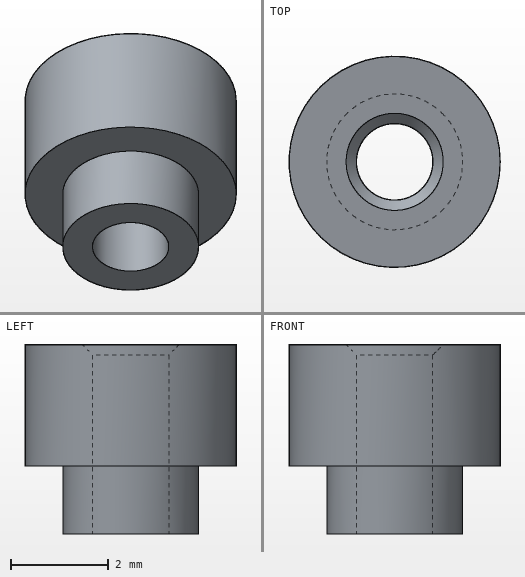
import cadquery as cq

HEAD_DIAMETER = 4.35
HEAD_HEIGHT = 2.5
SHANK_DIAMETER = 2.8
TOTAL_HEIGHT = 3.9
BORE_DIAMETER = 1.57
COUNTERSINK_DIAMETER = 2.0

SHANK_HEIGHT = TOTAL_HEIGHT - HEAD_HEIGHT
COUNTERSINK_DEPTH = (COUNTERSINK_DIAMETER - BORE_DIAMETER) / 2


def stepped_body():
    """Narrow shank standing on Z = 0 with the wider head on top of it."""
    shank = cq.Workplane("XY").circle(SHANK_DIAMETER / 2).extrude(SHANK_HEIGHT)
    return shank.faces(">Z").workplane().circle(HEAD_DIAMETER / 2).extrude(HEAD_HEIGHT)


def cut_bore(body):
    """Through bore along the axis."""
    return body.faces(">Z").workplane().hole(BORE_DIAMETER)


def countersink_bore(body):
    """45 degree countersink where the bore opens in the head's top face."""
    bore_rim = body.faces(">Z").edges(cq.selectors.RadiusNthSelector(0))
    return bore_rim.chamfer(COUNTERSINK_DEPTH)


result = countersink_bore(cut_bore(stepped_body()))